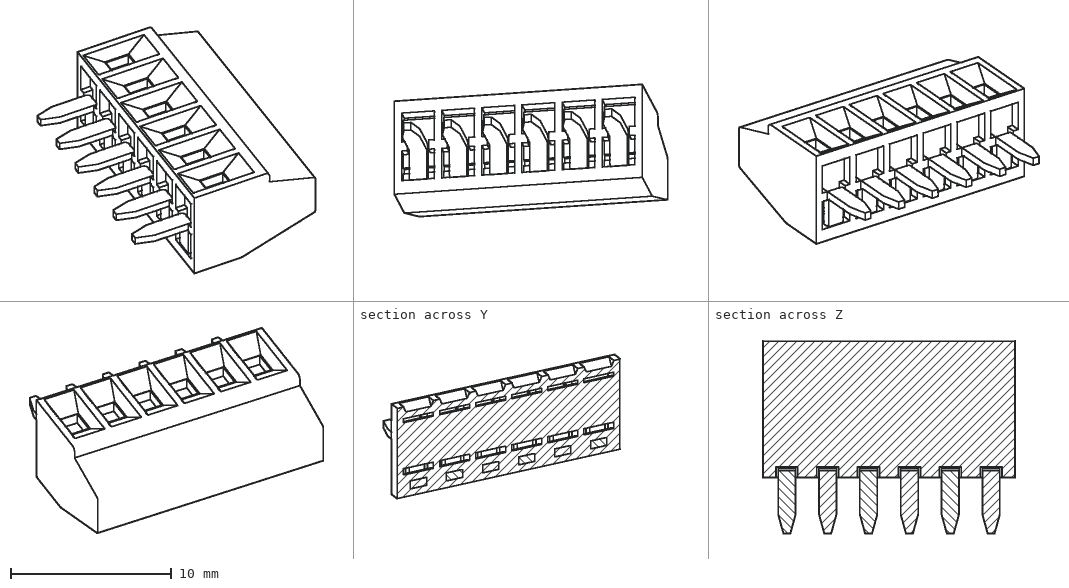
import cadquery as cq
import math

length = 15.7
height = 6.2
depth = 8.51
poles = 6
pole_span = 12.7
pitch = pole_span / (poles - 1)

shoulder_y = 5.28
shoulder_foot_z = 5.43
back_top_z = 4.5
back_bottom_z = 1.7
base_back_y = 3.33
shoulder_radius = 0.3
back_radius = 0.2

chamber_width = 2.07
chamber_bottom_z = 0.88
chamber_top_z = 5.37
neck_width = 1.35
neck_bottom_z = 2.84
neck_top_z = 3.45
pocket_depth = 0.65

slot_depth = 0.27
upper_slot_bottom_z = 5.13
lower_slot_bottom_z = 1.55
lower_slot_top_z = 1.95

funnel_front_y = 0.15
funnel_length = 4.27
throat_front_y = 1.48
throat_length = 1.68
funnel_width = chamber_width
throat_width = neck_width
funnel_depth = 0.8
shaft_width = 1.18
shaft_front_y = 1.5
shaft_length = 1.57
shaft_depth = 0.7
throat_z = height - funnel_depth
shaft_floor_z = throat_z - shaft_depth

sheet = 0.5
pin_width = 1.1
pin_length = 3.49
pin_taper_length = 1.2
pin_tip_width = 0.44
inner_bend_radius = 0.05
outer_bend_radius = inner_bend_radius + sheet
pin_bottom_z = neck_bottom_z
pin_top_z = pin_bottom_z + sheet
leg_front_y = inner_bend_radius
leg_back_y = leg_front_y + sheet
upper_bend_z = pin_bottom_z - inner_bend_radius
lower_bend_y = leg_front_y + outer_bend_radius
lower_bend_z = 1.05
foot_bottom_z = lower_bend_z - outer_bend_radius
foot_top_z = foot_bottom_z + sheet
foot_end_y = pocket_depth + slot_depth

pole_positions = [(i - (poles - 1) / 2) * pitch for i in range(poles)]


def box_between(x, width, y_range, z_range):
    """Box centred on x that fills the given Y and Z ranges."""
    size_y = y_range[1] - y_range[0]
    size_z = z_range[1] - z_range[0]
    corner = (x - width / 2, y_range[0], z_range[0])
    return cq.Workplane("XY").box(width, size_y, size_z, centered=False).translate(corner)


def housing_blank():
    """Side outline run along the full length, with its back edges rounded."""
    blank = (
        cq.Workplane("YZ", origin=(-length / 2, 0, 0))
        .polyline([
            (0, 0),
            (base_back_y, 0),
            (depth, back_bottom_z),
            (depth, back_top_z),
            (shoulder_y, shoulder_foot_z),
            (shoulder_y, height),
            (0, height),
        ])
        .close()
        .extrude(length)
    )
    shoulder_edge = cq.selectors.NearestToPointSelector((0, shoulder_y, height))
    blank = blank.edges(shoulder_edge).fillet(shoulder_radius)
    return blank.faces(">Y").edges("|X").fillet(back_radius)


def front_pocket(x):
    """Chambers, neck and back-wall slots cut into the front face."""
    pocket_range = (0, pocket_depth)
    slot_range = (0, pocket_depth + slot_depth)
    lower_chamber = box_between(x, chamber_width, pocket_range, (chamber_bottom_z, neck_bottom_z))
    neck = box_between(x, neck_width, pocket_range, (neck_bottom_z, neck_top_z))
    upper_chamber = box_between(x, chamber_width, pocket_range, (neck_top_z, chamber_top_z))
    lower_slot = box_between(x, chamber_width, slot_range, (lower_slot_bottom_z, lower_slot_top_z))
    upper_slot = box_between(x, chamber_width, slot_range, (upper_slot_bottom_z, chamber_top_z))
    return lower_chamber.union(neck).union(upper_chamber).union(lower_slot).union(upper_slot)


def wire_entry(x):
    """Funnel and shaft cut down from the top face."""
    funnel_centre_y = funnel_front_y + funnel_length / 2
    throat_centre_y = throat_front_y + throat_length / 2
    funnel = (
        cq.Workplane("XY", origin=(x, throat_centre_y, throat_z))
        .rect(throat_width, throat_length)
        .workplane(offset=funnel_depth)
        .center(0, funnel_centre_y - throat_centre_y)
        .rect(funnel_width, funnel_length)
        .loft(ruled=True)
    )
    shaft_range = (shaft_front_y, shaft_front_y + shaft_length)
    shaft = box_between(x, shaft_width, shaft_range, (shaft_floor_z, throat_z))
    return funnel.union(shaft)


def bent_strip(x):
    """Strip of constant thickness: pin, upper bend, leg, lower bend and foot."""
    diagonal = math.sqrt(0.5)
    inner_offset = inner_bend_radius * diagonal
    outer_offset = outer_bend_radius * diagonal
    return (
        cq.Workplane("YZ", origin=(x - pin_width / 2, 0, 0))
        .moveTo(-pin_length, pin_bottom_z)
        .lineTo(0, pin_bottom_z)
        .threePointArc((inner_offset, upper_bend_z + inner_offset), (leg_front_y, upper_bend_z))
        .lineTo(leg_front_y, lower_bend_z)
        .threePointArc(
            (lower_bend_y - outer_offset, lower_bend_z - outer_offset),
            (lower_bend_y, foot_bottom_z),
        )
        .lineTo(foot_end_y, foot_bottom_z)
        .lineTo(foot_end_y, foot_top_z)
        .lineTo(lower_bend_y, foot_top_z)
        .threePointArc(
            (lower_bend_y - inner_offset, lower_bend_z - inner_offset),
            (leg_back_y, lower_bend_z),
        )
        .lineTo(leg_back_y, upper_bend_z)
        .threePointArc((outer_offset, upper_bend_z + outer_offset), (0, pin_top_z))
        .lineTo(-pin_length, pin_top_z)
        .close()
        .extrude(pin_width)
    )


def make_contact(x):
    """Bent strip whose pin end tapers to a narrow tip."""
    taper_start_y = pin_taper_length - pin_length
    plan = (
        cq.Workplane("XY", origin=(x, 0, 0))
        .polyline([
            (-pin_tip_width / 2, -pin_length),
            (pin_tip_width / 2, -pin_length),
            (pin_width / 2, taper_start_y),
            (pin_width / 2, foot_end_y),
            (-pin_width / 2, foot_end_y),
            (-pin_width / 2, taper_start_y),
        ])
        .close()
        .extrude(height)
    )
    return bent_strip(x).intersect(plan)


def make_housing(contacts):
    """Housing with a pocket and a wire entry per pole, and a seat for each contact's foot."""
    housing = housing_blank()
    for x in pole_positions:
        housing = housing.cut(front_pocket(x)).cut(wire_entry(x))
    for contact in contacts:
        housing = housing.cut(contact)
    return housing


contacts = [make_contact(x) for x in pole_positions]
housing = make_housing(contacts)

result = cq.Compound.makeCompound([housing.val(), *[contact.val() for contact in contacts]])